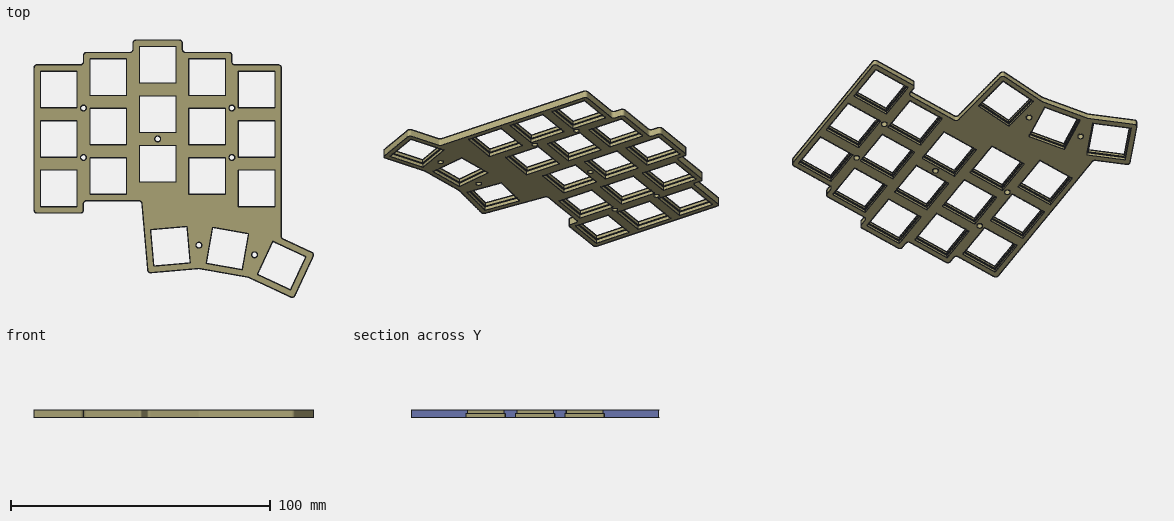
import cadquery as cq
import math


thickness = 3.0
pitch = 19.1
key_size = 14.0
rows = 3
column_drops = [2, 1, 0, 1, 2]
top_y = 99.2
clip_depth = 0.5
lip_thickness = 1.5
corner_radius = 1.2
screw_diameter = 2.2
thumb_screw_lift = 0.9

thumb_keys = [(52.5, 19.7, 5), (74.5, 18.8, -10), (95.4, 12.3, -25)]

half_cell = pitch / 2
stagger = pitch / 4
plate_right = len(column_drops) * pitch
column_tops = [top_y - drop * stagger for drop in column_drops]
column_bottoms = [top - rows * pitch for top in column_tops]


def thumb_point(key, along, across):
    """Plate position of a point given in the rotated axes of a thumb key."""
    x, y, degrees = key
    angle = math.radians(degrees)
    return (
        x + along * math.cos(angle) - across * math.sin(angle),
        y + along * math.sin(angle) + across * math.cos(angle),
    )


def thumb_edge(key, across):
    """Point and direction angle of a cell edge parallel to the key's own x axis."""
    return thumb_point(key, 0, across), math.radians(key[2])


def meeting_point(edge_a, edge_b):
    """Intersection of two lines, each a point and a direction angle."""
    (ax, ay), angle_a = edge_a
    (bx, by), angle_b = edge_b
    reach = (bx - ax) * math.sin(angle_b) - (by - ay) * math.cos(angle_b)
    reach /= math.sin(angle_b - angle_a)
    return ax + reach * math.cos(angle_a), ay + reach * math.sin(angle_a)


def outline_points():
    """Plate corners, clockwise from the lower left corner of the first column."""
    inner, middle, outer = thumb_keys
    points = [(0, column_bottoms[0])]

    for column, top in enumerate(column_tops):
        points += [(column * pitch, top), ((column + 1) * pitch, top)]

    right_wall = ((plate_right, 0), math.pi / 2)
    points.append(meeting_point(right_wall, thumb_edge(outer, half_cell)))
    points.append(thumb_point(outer, half_cell, half_cell))
    points.append(thumb_point(outer, half_cell, -half_cell))
    points.append(meeting_point(thumb_edge(outer, -half_cell), thumb_edge(middle, -half_cell)))
    points.append(meeting_point(thumb_edge(middle, -half_cell), thumb_edge(inner, -half_cell)))
    points.append(thumb_point(inner, -half_cell, -half_cell))

    thumb_side = (thumb_point(inner, -half_cell, 0), math.radians(inner[2] + 90))
    second_bottom = ((0, column_bottoms[1]), 0)
    points.append(meeting_point(thumb_side, second_bottom))
    points += [(pitch, column_bottoms[1]), (pitch, column_bottoms[0])]
    return points


def column_key_centres():
    return [
        ((column + 0.5) * pitch, top - (row + 0.5) * pitch)
        for column, top in enumerate(column_tops)
        for row in range(rows)
    ]


def screw_centres():
    centres = [(plate_right / 2, top_y - 2 * pitch)]

    gap_level = (column_tops[0] + column_tops[1]) / 2
    for x in (pitch, plate_right - pitch):
        for row in range(1, rows):
            centres.append((x, gap_level - row * pitch))

    for key, following in zip(thumb_keys, thumb_keys[1:]):
        x = (key[0] + following[0]) / 2
        y = (key[1] + following[1]) / 2
        centres.append((x, y + thumb_screw_lift))
    return centres


def switch_opening(x, y, degrees=0):
    """Through opening for one key, widened all round below the lip for the switch clips."""
    recess_size = key_size + 2 * clip_depth
    opening = cq.Workplane("XY").rect(key_size, key_size).extrude(thickness)
    clip_recess = cq.Workplane("XY").rect(recess_size, recess_size).extrude(thickness - lip_thickness)
    return opening.union(clip_recess).rotate((0, 0, 0), (0, 0, 1), degrees).translate((x, y, 0))


plate = cq.Workplane("XY").polyline(outline_points()).close().extrude(thickness)
plate = plate.edges("|Z").fillet(corner_radius)

for x, y in column_key_centres():
    plate = plate.cut(switch_opening(x, y))
for x, y, degrees in thumb_keys:
    plate = plate.cut(switch_opening(x, y, degrees))

screws = cq.Workplane("XY").pushPoints(screw_centres()).circle(screw_diameter / 2).extrude(thickness)
result = plate.cut(screws)